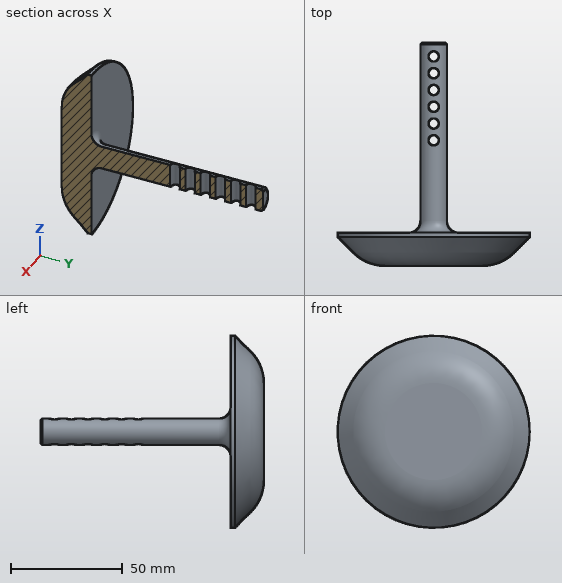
import cadquery as cq

head_radius = 43.0
head_thickness = 15.0
rim_thickness = 2.0
bevel_size = head_thickness - rim_thickness
front_blend_radius = 20.0

overall_length = 100.0
stem_radius = 6.0
stem_tip_chamfer = 1.0
root_fillet_radius = 5.0

hole_diameter = 4.5
hole_count = 6
hole_pitch = 7.5
last_hole_from_tip = 6.25

front_y = -head_thickness
tip_y = front_y + overall_length


def disc(radius, start_y, length):
    """Cylinder on the Y axis running from start_y towards +Y."""
    return cq.Workplane("XZ", origin=(0, start_y, 0)).circle(radius).extrude(-length)


def make_head():
    head = disc(head_radius, front_y, head_thickness)
    head = head.faces("<Y").chamfer(bevel_size)
    return head.faces("<Y").edges().fillet(front_blend_radius)


def make_stem():
    return disc(stem_radius, 0, tip_y).faces(">Y").chamfer(stem_tip_chamfer)


def add_root_fillet(body):
    """Blend the circular edge where the stem meets the back of the head (y = 0)."""
    reach = stem_radius + root_fillet_radius
    root_edge = cq.selectors.BoxSelector(
        (-reach, -root_fillet_radius, -reach), (reach, root_fillet_radius, reach), boundingbox=True
    )
    return body.edges(root_edge).fillet(root_fillet_radius)


def make_cross_holes():
    first_hole_y = tip_y - last_hole_from_tip - (hole_count - 1) * hole_pitch
    centres = [(0, first_hole_y + index * hole_pitch) for index in range(hole_count)]
    return (
        cq.Workplane("XY")
        .pushPoints(centres)
        .circle(hole_diameter / 2)
        .extrude(2 * stem_radius, both=True)
    )


body = add_root_fillet(make_head().union(make_stem()))
result = body.cut(make_cross_holes())